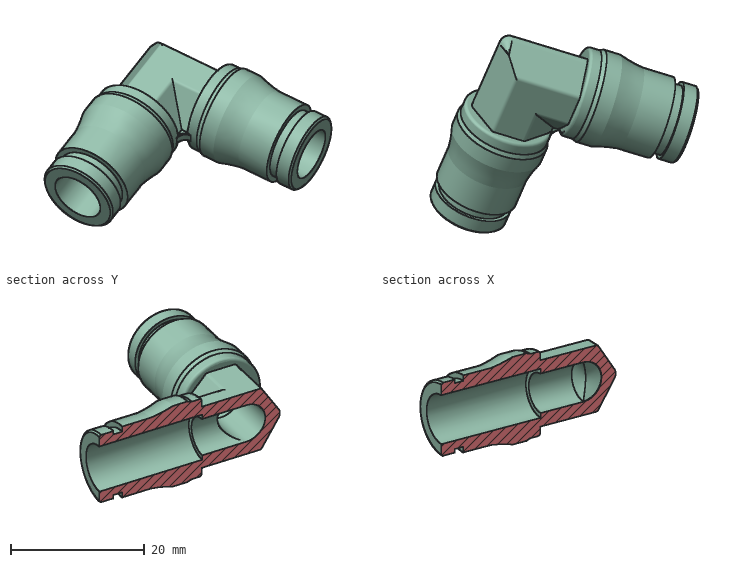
import cadquery as cq
import math

overall_size = 32.77
body_diameter = 14.52
body_radius = body_diameter / 2
end_face = overall_size - body_radius

collar_start = 7.7
collar_end = 9.55
body_start = 10.25
body_end = 12.7
sleeve_start = 16.58
sleeve_end = 21.55
release_ring_start = 23.07

collar_radius = 6.98
collar_fillet = 0.5
sleeve_radius = 6.4
flare_sag = 0.1
neck_radius = 5.47
release_ring_radius = 6.05
release_ring_chamfer = 0.3

tube_radius = 4.0
flow_radius = 3.2
tube_stop = collar_start
drill_tip_angle = 120.0
drill_tip_length = flow_radius / math.tan(math.radians(drill_tip_angle / 2))

elbow_half_height = 5.5
shoulder_offset = 2.55
outer_ridge_offset = 6.1
inner_edge_offset = 6.8
web_half_thickness = 0.82
shoulder_fillet = 0.65
ridge_fillet = 1.35
ridge_tip_offset = 5.83
outer_corner_radius = 1.5

web_corner = 8.52
web_arc_radius = web_corner - collar_radius
web_chamfer = 0.15

MITRE_NORMAL = (1, 1, 0)
block = 2 * overall_size


def make_fitting():
    """Solid of revolution about X with a concave flare between body and sleeve."""
    flare_middle_radius = (body_radius + sleeve_radius) / 2 - flare_sag
    fillet_middle = collar_fillet * (1 - math.sqrt(0.5))
    return (
        cq.Workplane("XY")
        .moveTo(collar_start, 0)
        .lineTo(collar_start, collar_radius - collar_fillet)
        .threePointArc(
            (collar_start + fillet_middle, collar_radius - fillet_middle),
            (collar_start + collar_fillet, collar_radius),
        )
        .lineTo(collar_end, collar_radius)
        .lineTo(body_start, body_radius)
        .lineTo(body_end, body_radius)
        .threePointArc(
            ((body_end + sleeve_start) / 2, flare_middle_radius),
            (sleeve_start, sleeve_radius),
        )
        .lineTo(sleeve_end, sleeve_radius)
        .lineTo(sleeve_end, neck_radius)
        .lineTo(release_ring_start, neck_radius)
        .lineTo(release_ring_start, release_ring_radius)
        .lineTo(end_face - release_ring_chamfer, release_ring_radius)
        .lineTo(end_face, release_ring_radius - release_ring_chamfer)
        .lineTo(end_face, 0)
        .close()
        .revolve(360, (0, 0, 0), (1, 0, 0))
    )


def make_elbow_arm():
    """Elbow prism along X, cut off on the mitre plane y = -x."""
    upper = [
        (inner_edge_offset, web_half_thickness),
        (shoulder_offset, elbow_half_height),
        (-shoulder_offset, elbow_half_height),
    ]
    lower = [(offset, -height) for offset, height in reversed(upper)]
    outline = [(-y, z) for y, z in upper + [(-outer_ridge_offset, 0)] + lower]
    prism = (
        cq.Workplane("YZ", origin=(-collar_start, 0, 0))
        .polyline(outline)
        .close()
        .extrude(2 * collar_start)
    )
    prism = prism.faces(">Z or <Z").edges("|X").fillet(shoulder_fillet)
    prism = prism.edges("|X").edges(">Y").fillet(ridge_fillet)
    mitre_side = (
        cq.Workplane("XY")
        .polyline([(-block, block), (block, block), (block, -block)])
        .close()
        .extrude(block, both=True)
    )
    return prism.intersect(mitre_side)


def round_outer_corner(elbow):
    """Sweep the ridge section around a vertical axis instead of a sharp mitre."""
    centre = ridge_tip_offset - outer_corner_radius
    corner_block = (
        cq.Workplane("XY")
        .center(-centre, centre)
        .rect(-block, block, centered=False)
        .extrude(block, both=True)
    )
    slope = elbow_half_height / (outer_ridge_offset - shoulder_offset)
    cone_radius = outer_ridge_offset - centre
    cone_height = cone_radius * slope
    cone = (
        cq.Workplane("XZ", origin=(-centre, centre, 0))
        .polyline([(0, -cone_height), (cone_radius, 0), (0, cone_height)])
        .close()
        .revolve(360, (0, 0, 0), (0, 1, 0))
        .edges(cq.selectors.RadiusNthSelector(-1))
        .fillet(ridge_fillet)
    )
    return elbow.cut(corner_block).union(cone.intersect(corner_block))


def make_web():
    """Flat web with a concave quarter-round edge in the inside corner."""
    thickness = 2 * web_half_thickness
    web_size = web_corner - shoulder_offset
    web_middle = (web_corner + shoulder_offset) / 2
    plate = cq.Workplane("XY").box(web_size, web_size, thickness).translate((web_middle, -web_middle, 0))
    scoop = (
        cq.Workplane("XY")
        .center(web_corner, -web_corner)
        .circle(web_arc_radius)
        .extrude(thickness, both=True)
    )
    return plate.cut(scoop).edges("%CIRCLE").chamfer(web_chamfer)


def make_bore():
    """Tube socket, then a narrower drilled bore with a conical end past the axis crossing."""
    return (
        cq.Workplane("XY")
        .polyline([
            (-drill_tip_length, 0),
            (0, flow_radius),
            (tube_stop, flow_radius),
            (tube_stop, tube_radius),
            (end_face, tube_radius),
            (end_face, 0),
        ])
        .close()
        .revolve(360, (0, 0, 0), (1, 0, 0))
    )


def both_sides(shape):
    return shape.union(shape.mirror(MITRE_NORMAL))


elbow = round_outer_corner(both_sides(make_elbow_arm()))
solid = elbow.union(make_web()).union(both_sides(make_fitting()))
result = solid.cut(both_sides(make_bore()))